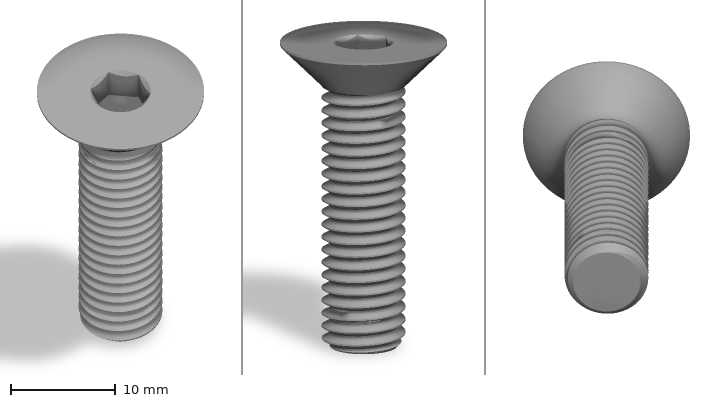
import cadquery as cq
import math

LENGTH = 30.0
THREAD_DIAMETER = 8.0
HEAD_DIAMETER = 16.0
RIM_HEIGHT = 0.2
HEAD_ANGLE = 90.0

TURNS_OVER_LENGTH = 24
PITCH = LENGTH / TURNS_OVER_LENGTH
THREAD_ANGLE = 60.0
ROOT_DIAMETER = 6.4
CREST_FLAT = PITCH / 8
FIRST_CREST_HEIGHT = 1.02
RIDGE_EMBED = 0.05
OVERRUN_TURNS = 3
ENVELOPE_CLEARANCE = 0.3

SOCKET_ACROSS_FLATS = 5.0
SOCKET_SIDES = 6
SOCKET_DEPTH = 3.0
SOCKET_CHAMFER_ANGLE = 45.0

head_radius = HEAD_DIAMETER / 2
crest_radius = THREAD_DIAMETER / 2
root_radius = ROOT_DIAMETER / 2
cone_height = (head_radius - crest_radius) / math.tan(math.radians(HEAD_ANGLE / 2))
shank_length = LENGTH - RIM_HEIGHT - cone_height


def make_thread_ridge():
    """Right-handed helical ridge, seated slightly inside the core and overrunning both shank ends."""
    flank_slope = math.tan(math.radians(THREAD_ANGLE / 2))
    base_radius = root_radius - RIDGE_EMBED
    crest_half_width = CREST_FLAT / 2
    base_half_width = crest_half_width + (crest_radius - base_radius) * flank_slope
    start_height = FIRST_CREST_HEIGHT - OVERRUN_TURNS * PITCH
    turns = math.ceil(shank_length / PITCH) + 2 * OVERRUN_TURNS
    helix_height = turns * PITCH

    profile = [
        (base_radius, -base_half_width),
        (crest_radius, -crest_half_width),
        (crest_radius, crest_half_width),
        (base_radius, base_half_width),
    ]
    edges = [
        cq.Wire.makeHelix(PITCH, helix_height, radius).translate(cq.Vector(0, 0, start_height + height))
        for radius, height in profile
    ]
    faces = [cq.Face.makeRuledSurface(edges[i - 1], edges[i]) for i in range(len(edges))]
    for end_height in (start_height, start_height + helix_height):
        corners = [cq.Vector(radius, 0, end_height + height) for radius, height in profile]
        faces.append(cq.Face.makeFromWires(cq.Wire.makePolygon(corners, close=True)))
    ridge = cq.Solid.makeSolid(cq.Shell.makeShell(faces)).fix()
    return cq.Workplane(obj=ridge)


def make_threaded_shank():
    """Core and ridge trimmed to length, with a tip chamfer that runs down to the thread root."""
    overrun = 2 * OVERRUN_TURNS * PITCH
    core = (
        cq.Workplane("XY", origin=(0, 0, -overrun))
        .circle(root_radius)
        .extrude(shank_length + 2 * overrun)
        .rotate((0, 0, 0), (0, 0, 1), 90)
    )
    envelope_radius = crest_radius + ENVELOPE_CLEARANCE
    envelope = (
        cq.Workplane("XY")
        .circle(envelope_radius)
        .extrude(shank_length)
        .faces("<Z")
        .chamfer(envelope_radius - root_radius)
        .rotate((0, 0, 0), (0, 0, 1), 45)
    )
    return core.union(make_thread_ridge()).intersect(envelope)


def make_head():
    """Countersunk cone topped by a narrow cylindrical rim."""
    return (
        cq.Workplane("XZ")
        .moveTo(0, shank_length)
        .lineTo(crest_radius, shank_length)
        .lineTo(head_radius, LENGTH - RIM_HEIGHT)
        .lineTo(head_radius, LENGTH)
        .lineTo(0, LENGTH)
        .close()
        .revolve(360, (0, 0), (0, 1))
    )


def make_socket():
    """Hexagonal recess, two corners on the Y axis, with a conical lead-in."""
    corner_radius = SOCKET_ACROSS_FLATS / (2 * math.cos(math.pi / SOCKET_SIDES))
    hexagon = (
        cq.Workplane("XY", origin=(0, 0, LENGTH))
        .transformed(rotate=(0, 0, 90))
        .polygon(SOCKET_SIDES, 2 * corner_radius)
        .extrude(-SOCKET_DEPTH)
    )
    cone_depth = corner_radius * math.tan(math.radians(SOCKET_CHAMFER_ANGLE))
    lead_in = cq.Workplane("XY").add(
        cq.Solid.makeCone(corner_radius, 0, cone_depth, cq.Vector(0, 0, LENGTH), cq.Vector(0, 0, -1))
    )
    return hexagon.union(lead_in)


result = make_threaded_shank().union(make_head()).cut(make_socket())